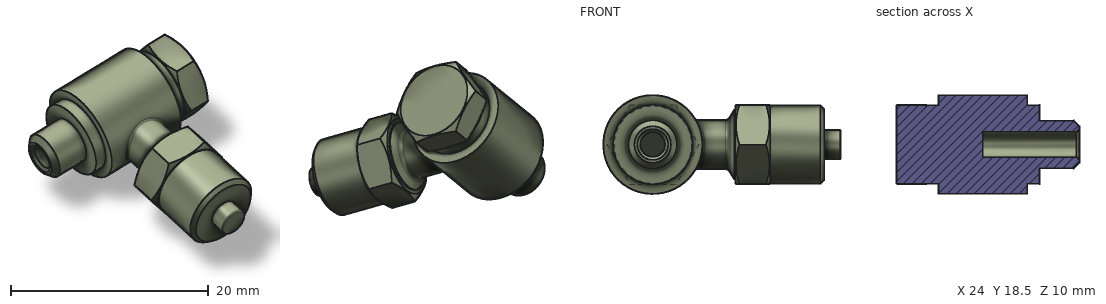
import cadquery as cq
import math


overall_length = 24
body_diameter = 10.0
body_radius = body_diameter / 2
body_half_length = 4.5
washer_radius = 4.0
washer_thickness = 1.25
washer_face = body_half_length + washer_thickness

hex_across_flats = 8.02
hex_corner_radius = hex_across_flats / math.sqrt(3)
hex_end_radius = 3.9
hex_chamfer_length = (hex_corner_radius - hex_end_radius) * math.tan(math.radians(30))
bolt_head_height = 3.0

stud_radius = 2.45
stud_length = 4.03
stud_chamfer = 0.6
bore_radius = 1.25
bore_mouth_radius = 1.55
stud_tip = washer_face + stud_length

neck_radius = 2.5
neck_root_fillet = 0.25
neck_end = 7.35
flare_fillet = 0.5
flare_angle = math.radians(60)
collar_radius = 3.5
nut_start = 8.35
nut_length = 3.5
sleeve_start = nut_start + nut_length
sleeve_end = 17.35
sleeve_radius = 3.98
sleeve_chamfer = 0.43
tube_radius = 1.5
tube_fillet = 0.15
tube_end = overall_length - body_radius


def cylinder_along_y(radius, y_start, y_end):
    return cq.Workplane("XZ", origin=(0, y_start, 0)).circle(radius).extrude(y_start - y_end)


def cylinder_along_x(radius, x_start, x_end):
    return cq.Workplane("YZ", origin=(x_start, 0, 0)).circle(radius).extrude(x_end - x_start)


def chamfered_hexagon(height):
    """Hexagon standing on Z = 0, corners on local X, both ends turned down to a cone."""
    prism = cq.Workplane("XY").polygon(6, 2 * hex_corner_radius).extrude(height)
    turned_envelope = (
        cq.Workplane("XZ")
        .moveTo(0, 0)
        .lineTo(hex_end_radius, 0)
        .lineTo(hex_corner_radius, hex_chamfer_length)
        .lineTo(hex_corner_radius, height - hex_chamfer_length)
        .lineTo(hex_end_radius, height)
        .lineTo(0, height)
        .close()
        .revolve(360, (0, 0), (0, 1))
    )
    return prism.intersect(turned_envelope)


def banjo_body():
    """Body cylinder joined to the neck, with a small fillet around the joint."""
    body = cylinder_along_y(body_radius, -body_half_length, body_half_length)
    neck = cylinder_along_x(neck_radius, 0, neck_end)
    joint_region = cq.selectors.BoxSelector(
        (neck_radius, -body_half_length / 2, -body_radius),
        (body_radius + neck_root_fillet, body_half_length / 2, body_radius),
    )
    return body.union(neck).edges(joint_region).fillet(neck_root_fillet)


def flared_collar():
    """Neck end that sweeps through an arc into a cone and a short collar behind the nut."""
    arc_end_x = neck_end + flare_fillet * math.sin(flare_angle)
    arc_end_radius = neck_radius + flare_fillet * (1 - math.cos(flare_angle))
    arc_mid_x = neck_end + flare_fillet * math.sin(flare_angle / 2)
    arc_mid_radius = neck_radius + flare_fillet * (1 - math.cos(flare_angle / 2))
    collar_start = arc_end_x + (collar_radius - arc_end_radius) / math.tan(flare_angle)
    return (
        cq.Workplane("XY")
        .moveTo(neck_end, 0)
        .lineTo(neck_end, neck_radius)
        .threePointArc((arc_mid_x, arc_mid_radius), (arc_end_x, arc_end_radius))
        .lineTo(collar_start, collar_radius)
        .lineTo(nut_start, collar_radius)
        .lineTo(nut_start, 0)
        .close()
        .revolve(360, (0, 0), (1, 0))
    )


def nut_and_tube():
    nut = (
        chamfered_hexagon(nut_length)
        .rotate((0, 0, 0), (0, 0, 1), 90)
        .rotate((0, 0, 0), (0, 1, 0), 90)
        .translate((nut_start, 0, 0))
    )
    sleeve = cylinder_along_x(sleeve_radius, sleeve_start, sleeve_end).faces(">X").chamfer(sleeve_chamfer)
    tube = cylinder_along_x(tube_radius, sleeve_end, tube_end).faces(">X").edges().fillet(tube_fillet)
    return nut.union(sleeve).union(tube)


def bolt():
    """Hexagon head, washer cylinder running through the body, and stud."""
    head = (
        chamfered_hexagon(bolt_head_height)
        .rotate((0, 0, 0), (1, 0, 0), -90)
        .translate((0, washer_face, 0))
    )
    washers = cylinder_along_y(washer_radius, -washer_face, washer_face)
    stud = cylinder_along_y(stud_radius, -washer_face, -stud_tip).faces("<Y").chamfer(stud_chamfer)
    return head.union(washers).union(stud)


def stud_bore():
    """Blind bore from the stud tip to the pipe axis, with a chamfered mouth."""
    mouth_chamfer = bore_mouth_radius - bore_radius
    return (
        cq.Workplane("XY")
        .moveTo(0, 0)
        .lineTo(bore_radius, 0)
        .lineTo(bore_radius, mouth_chamfer - stud_tip)
        .lineTo(bore_mouth_radius, -stud_tip)
        .lineTo(0, -stud_tip)
        .close()
        .revolve(360, (0, 0), (0, 1))
    )


result = banjo_body().union(flared_collar()).union(nut_and_tube()).union(bolt()).cut(stud_bore())